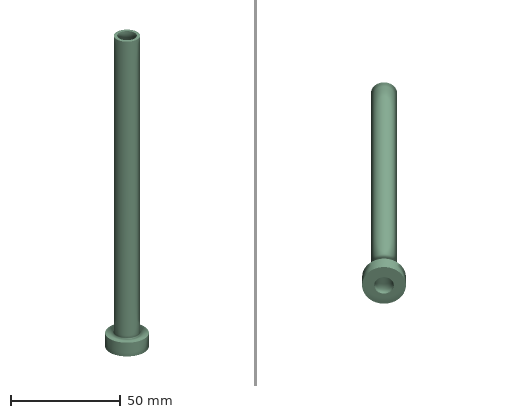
import cadquery as cq

total_length = 160.0
head_diameter = 20.0
head_height = 7.0
tube_diameter = 12.0
bore_diameter = 9.0
root_fillet = 0.5

tube_radius = tube_diameter / 2
fillet_top = head_height + root_fillet

half_section = (
    cq.Workplane("XZ")
    .lineTo(head_diameter / 2, 0)
    .lineTo(head_diameter / 2, head_height)
    .lineTo(tube_radius + root_fillet, head_height)
    .radiusArc((tube_radius, fillet_top), root_fillet)
    .lineTo(tube_radius, total_length)
    .lineTo(0, total_length)
    .close()
)
sleeve = half_section.revolve(360, (0, 0, 0), (0, 1, 0))

result = sleeve.faces(">Z").workplane().hole(bore_diameter)